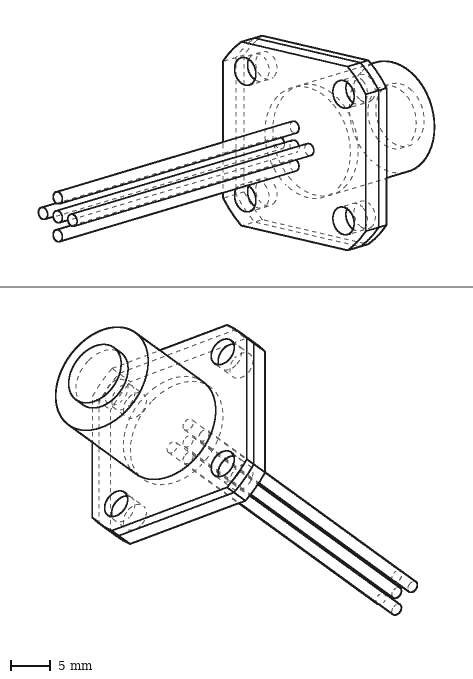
import cadquery as cq

total_length = 65.0
flange_width = 24.0
corner_diameter = 29.9

wire_length = 45.0
flange_thickness = 2.5
gasket_thickness = 1.5
boss_length = 1.5
barrel_end = total_length - wire_length - boss_length

barrel_diameter = 14.35
boss_diameter = 8.1
wire_diameter = 1.55
mount_hole_diameter = 3.6

mount_hole_spacing = 16.5
wire_offset = 2.5

wire_positions = [
    (0, 0),
    (wire_offset, 0),
    (-wire_offset, 0),
    (0, wire_offset),
    (0, -wire_offset),
]


def plane_at(y):
    """XZ work plane at the given Y, extruding toward +Y, with local y along -Z."""
    return cq.Workplane(cq.Plane(origin=(0, y, 0), xDir=(1, 0, 0), normal=(0, 1, 0)))


def cylinder(y_start, y_end, diameter):
    """Cylinder on the Y axis."""
    return plane_at(y_start).circle(diameter / 2).extrude(y_end - y_start)


def mounting_plate(y_start, thickness):
    """Square plate with rounded-off corners and four mounting holes."""
    square = plane_at(y_start).rect(flange_width, flange_width).extrude(thickness)
    plate = square.intersect(cylinder(y_start, y_start + thickness, corner_diameter))
    holes = (
        plane_at(y_start)
        .rect(mount_hole_spacing, mount_hole_spacing, forConstruction=True)
        .vertices()
        .circle(mount_hole_diameter / 2)
        .extrude(thickness)
    )
    return plate.cut(holes)


def make_connector():
    """Flange with the barrel and its end boss on +Y and five wires on -Y."""
    flange = mounting_plate(0, flange_thickness)
    barrel = cylinder(flange_thickness, barrel_end, barrel_diameter)
    boss = cylinder(barrel_end, barrel_end + boss_length, boss_diameter)
    wires = (
        plane_at(-wire_length)
        .pushPoints(wire_positions)
        .circle(wire_diameter / 2)
        .extrude(wire_length)
    )
    return flange.union(barrel).union(boss).union(wires)


def make_gasket():
    """Flat gasket on the flange, fitted around the barrel."""
    plate = mounting_plate(flange_thickness, gasket_thickness)
    gasket_end = flange_thickness + gasket_thickness
    return plate.cut(cylinder(flange_thickness, gasket_end, barrel_diameter))


connector = make_connector()
gasket = make_gasket()

result = cq.Compound.makeCompound([connector.val(), gasket.val()])